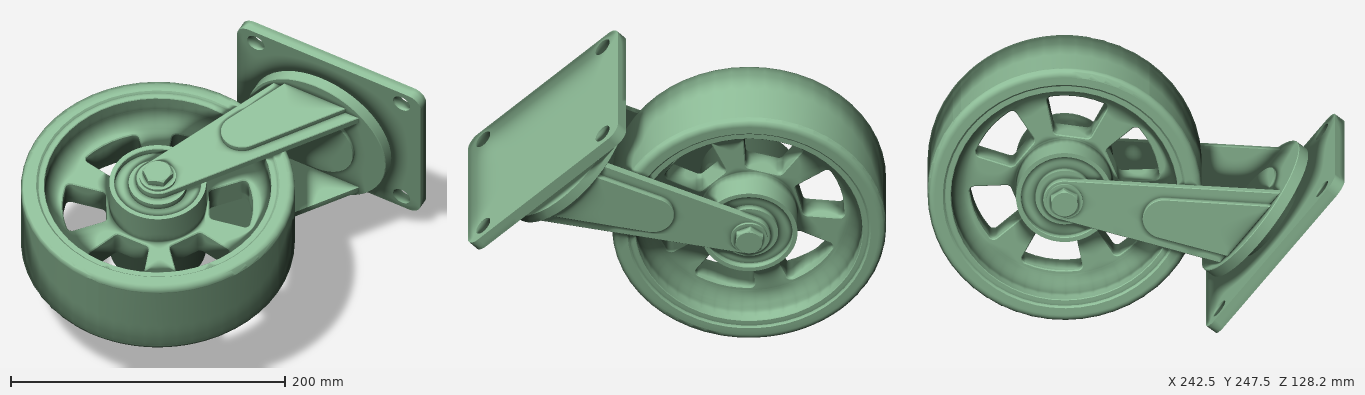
import cadquery as cq
import math


overall_length = 247.5
edge_break = 0.5

wheel_radius = 100.0
tread_half_width = 35.0
tread_fillet = 5.2
tread_flat_width = 10.0
tyre_inner_radius = 88.8
rim_outer_radius = 87.4
rim_bore_radius = 165.5 / 2
rim_step = 1.5
web_half_thickness = 10.6
web_fillet = 10.6

hub_radius = 70.8 / 2
hub_half_width = 36.6
hub_base_fillet = 1.0
bearing_radius = 63.3 / 2
bearing_recess = 5.0
spacer_radius = 42.5 / 2

opening_count = 6
opening_half_angle = math.radians(19.5)
opening_inner_distance = 37.5
opening_outer_radius = 69.5
opening_inner_fillet = 3.7
opening_outer_fillet = 3.7
opening_edge_chamfer = 0.7

plate_width = 152.2
plate_height = 128.2
plate_thickness = 8.7
plate_corner_radius = 10.0
plate_right = 142.5
bolt_hole_diameter = 14.0
bolt_hole_spacing_x = 121.0
bolt_hole_spacing_z = 105.0
post_radius = 64.0 / 2
post_length = 10.5
flange_radius = 115.0 / 2
flange_thickness = 8.7
boss_radius = 63.3 / 2
boss_length = 2.7

leg_thickness = 5.5
leg_end_radius = 15.5
leg_top_left = 31.2
leg_top_right = 102.0
pad_thickness = 4.5
pad_centre = (34.6, 65.0)
pad_end_radius = 15.5
pad_top_left = 40.0
pad_top_right = 91.0

washer_radius = 26.7 / 2
washer_thickness = 2.0
head_corner_diameter = 22.3
head_height = 5.5
head_chamfer = 1.2
head_top_inset = 1.7
head_rotation = 20.0

tread_flat_distance = math.sqrt(wheel_radius**2 - (tread_flat_width / 2) ** 2)
plate_face_y = overall_length - tread_flat_distance
post_top_y = plate_face_y - plate_thickness
flange_top_y = post_top_y - post_length
flange_bottom_y = flange_top_y - flange_thickness
swivel_x = plate_right - plate_width / 2
leg_outer_z = hub_half_width + leg_thickness
head_base_z = leg_outer_z + washer_thickness


def make_wheel_body():
    """Tyre, rim, web, hub and spacers, revolved about the axle."""
    bearing_z = hub_half_width - bearing_recess
    fillet_centre_r = rim_bore_radius - web_fillet
    fillet_centre_z = web_half_thickness + web_fillet
    rim_z = tread_half_width - rim_step
    diagonal = math.sqrt(0.5)
    upper_half = (
        cq.Workplane("XZ")
        .lineTo(wheel_radius, 0)
        .lineTo(wheel_radius, tread_half_width - tread_fillet)
        .radiusArc((wheel_radius - tread_fillet, tread_half_width), -tread_fillet)
        .lineTo(tyre_inner_radius, tread_half_width)
        .lineTo(rim_outer_radius, rim_z)
        .lineTo(rim_bore_radius + edge_break, rim_z)
        .lineTo(rim_bore_radius, rim_z - edge_break)
        .lineTo(rim_bore_radius, fillet_centre_z)
        .threePointArc(
            (fillet_centre_r + web_fillet * diagonal, fillet_centre_z - web_fillet * diagonal),
            (fillet_centre_r, web_half_thickness),
        )
        .lineTo(hub_radius + hub_base_fillet, web_half_thickness)
        .radiusArc((hub_radius, web_half_thickness + hub_base_fillet), hub_base_fillet)
        .lineTo(hub_radius, hub_half_width)
        .lineTo(bearing_radius + edge_break, hub_half_width)
        .lineTo(bearing_radius, hub_half_width - edge_break)
        .lineTo(bearing_radius, bearing_z)
        .lineTo(spacer_radius, bearing_z)
        .lineTo(spacer_radius, hub_half_width)
        .lineTo(0, hub_half_width)
        .close()
        .revolve(360, (0, 0, 0), (0, 1, 0))
    )
    return upper_half.union(upper_half.mirror("XY"))


def make_opening():
    """Cutter for one opening between spokes, centred on +X and flared at both ends."""
    inner_y = opening_inner_distance * math.tan(opening_half_angle)
    outer_x = opening_outer_radius * math.cos(opening_half_angle)
    outer_y = opening_outer_radius * math.sin(opening_half_angle)
    passage = (
        cq.Workplane("XY")
        .moveTo(opening_inner_distance, -inner_y)
        .lineTo(outer_x, -outer_y)
        .threePointArc((opening_outer_radius, 0), (outer_x, outer_y))
        .lineTo(opening_inner_distance, inner_y)
        .close()
        .extrude(web_half_thickness - opening_edge_chamfer)
        .edges("|Z").edges("<X").fillet(opening_inner_fillet)
        .edges("|Z").edges(">X").fillet(opening_outer_fillet)
    )
    flare = (
        passage.faces(">Z").wires().toPending()
        .workplane()
        .extrude(opening_edge_chamfer, taper=-45, combine=False)
    )
    upper_half = passage.union(flare)
    return upper_half.union(upper_half.mirror("XY"))


def make_wheel():
    """Wheel with the openings cut through its web and the flat taken off its tread."""
    wheel = make_wheel_body()
    opening = make_opening()
    pitch = 360 / opening_count
    for index in range(opening_count):
        wheel = wheel.cut(opening.rotate((0, 0, 0), (0, 0, 1), (index + 0.5) * pitch))
    beyond_flat = (
        cq.Workplane("XZ", origin=(0, -tread_flat_distance, 0))
        .rect(2 * wheel_radius, 2 * wheel_radius)
        .extrude(wheel_radius)
    )
    return wheel.cut(beyond_flat)


def make_disc(top_y, radius, length):
    """Round stage of the swivel, hanging down from the given height."""
    return cq.Workplane("XZ", origin=(swivel_x, top_y, 0)).circle(radius).extrude(length)


def make_swivel_head():
    """Mounting plate with its four holes, then the post, flange and boss below it."""
    holes = (
        cq.Workplane("XZ", origin=(swivel_x, plate_face_y, 0))
        .rect(bolt_hole_spacing_x, bolt_hole_spacing_z, forConstruction=True)
        .vertices()
        .circle(bolt_hole_diameter / 2)
        .extrude(plate_thickness)
    )
    plate = (
        cq.Workplane("XZ", origin=(swivel_x, plate_face_y, 0))
        .rect(plate_width, plate_height)
        .extrude(plate_thickness)
        .edges("|Y").fillet(plate_corner_radius)
        .cut(holes)
    )
    post = make_disc(post_top_y, post_radius, post_length)
    flange = make_disc(flange_top_y, flange_radius, flange_thickness).faces("<Y").chamfer(edge_break)
    boss = make_disc(flange_bottom_y, boss_radius, boss_length)
    return plate.union(post).union(flange).union(boss)


def tangent_point(point, centre, radius, side):
    """Where the line from a point touches a circle; side is +1 or -1."""
    dx = point[0] - centre[0]
    dy = point[1] - centre[1]
    angle = math.atan2(dy, dx) + side * math.acos(radius / math.hypot(dx, dy))
    return (centre[0] + radius * math.cos(angle), centre[1] + radius * math.sin(angle))


def make_tapered_plate(base_z, thickness, centre, end_radius, top_left, top_right):
    """Plate hanging from the flange, its straight sides tangent to a round lower end."""
    left = (top_left, flange_bottom_y)
    right = (top_right, flange_bottom_y)
    mid_angle = math.atan2(flange_bottom_y - centre[1], (top_left + top_right) / 2 - centre[0])
    lowest = (
        centre[0] - end_radius * math.cos(mid_angle),
        centre[1] - end_radius * math.sin(mid_angle),
    )
    return (
        cq.Workplane("XY", origin=(0, 0, base_z))
        .moveTo(*left)
        .lineTo(*tangent_point(left, centre, end_radius, 1))
        .threePointArc(lowest, tangent_point(right, centre, end_radius, -1))
        .lineTo(*right)
        .close()
        .extrude(thickness)
        .faces(">Z").chamfer(edge_break)
    )


def make_axle_bolt():
    """Washer and hexagon head with a chamfered top."""
    washer = (
        cq.Workplane("XY", origin=(0, 0, leg_outer_z))
        .circle(washer_radius)
        .extrude(washer_thickness)
    )
    head = (
        cq.Workplane("XY", origin=(0, 0, head_base_z))
        .polygon(6, head_corner_diameter)
        .extrude(head_height)
        .rotate((0, 0, 0), (0, 0, 1), head_rotation)
    )
    turned_blank = (
        cq.Workplane("XY", origin=(0, 0, head_base_z))
        .circle(head_corner_diameter / 2)
        .extrude(head_height)
        .faces(">Z").chamfer(head_chamfer, head_top_inset)
    )
    return washer.union(head.intersect(turned_blank))


def make_fork_side():
    """Leg, stiffening pad and axle bolt of the +Z side."""
    leg = make_tapered_plate(
        hub_half_width, leg_thickness, (0, 0), leg_end_radius, leg_top_left, leg_top_right
    )
    pad = make_tapered_plate(
        leg_outer_z, pad_thickness, pad_centre, pad_end_radius, pad_top_left, pad_top_right
    )
    return leg.union(pad).union(make_axle_bolt())


fork_side = make_fork_side()
result = (
    make_wheel()
    .union(make_swivel_head())
    .union(fork_side)
    .union(fork_side.mirror("XY"))
)